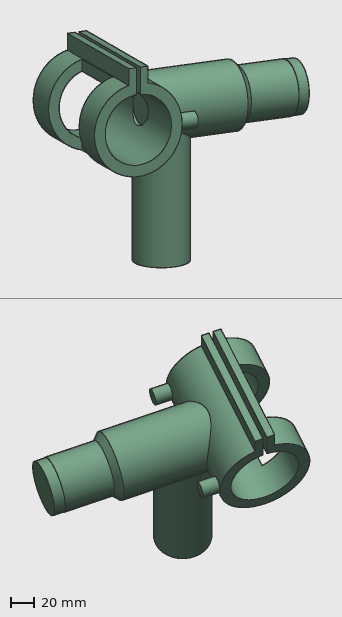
import cadquery as cq

clamp_length = 120.0
clamp_radius = 41.6
bore_radius = 31.5
ear_top = 55.5
ear_outer_width = 18.2
slit_width = 3.8
window_length = 59.5
window_face_y = -10.0

pin_radius = 7.3
pin_end_y = 57.0
pin_x = clamp_length / 2 - pin_radius

arm_radius = 31.2
neck_radius = 25.0
tip_radius = 24.5
taper_start_y = 118.3
taper_end_y = taper_start_y + arm_radius - neck_radius
tip_start_y = 170.0
arm_end_y = 221.5 - clamp_radius

spigot_radius = 15.0

leg_radius = neck_radius
leg_y = 51.2
leg_bottom_z = ear_top - 193.5


def cylinder_x(radius):
    """Cylinder around the X axis, as long as the clamp."""
    return cq.Workplane("YZ").circle(radius).extrude(clamp_length / 2, both=True)


def cylinder_y(radius, end_y, x=0):
    """Cylinder parallel to Y, from the plane of the bore axis to end_y."""
    return cq.Workplane("XZ").center(x, 0).circle(radius).extrude(-end_y)


def make_clamp():
    ears = cq.Workplane("XY").box(clamp_length, ear_outer_width, ear_top, centered=(True, True, False))
    slit = cq.Workplane("XY").box(clamp_length, slit_width, ear_top, centered=(True, True, False))
    clamp = cylinder_x(clamp_radius).union(ears)
    for side in (-1, 1):
        clamp = clamp.union(cylinder_y(pin_radius, pin_end_y, side * pin_x))
    clamp = clamp.cut(cylinder_x(bore_radius)).cut(slit)

    window_depth = clamp_radius + window_face_y
    window = (
        cq.Workplane("XY")
        .box(window_length, window_depth, 2 * clamp_radius)
        .translate((0, window_face_y - window_depth / 2, 0))
    )
    return clamp.cut(window).cut(cylinder_y(spigot_radius, clamp_radius))


def make_arm():
    profile = [
        (0, 0),
        (arm_radius, 0),
        (arm_radius, taper_start_y),
        (neck_radius, taper_end_y),
        (neck_radius, tip_start_y),
        (tip_radius, tip_start_y),
        (tip_radius, arm_end_y),
        (0, arm_end_y),
    ]
    barrel = cq.Workplane("XY").polyline(profile).close().revolve(360, (0, 0, 0), (0, 1, 0))
    leg = cq.Workplane("XY").center(0, leg_y).circle(leg_radius).extrude(leg_bottom_z)
    arm = barrel.union(leg).cut(cylinder_x(clamp_radius))

    spigot = cylinder_y(spigot_radius, clamp_radius)
    spigot = spigot.cut(cylinder_y(clamp_radius, bore_radius))
    return arm.union(spigot)


clamp = make_clamp()
arm = make_arm()

result = cq.Compound.makeCompound([clamp.solids().val(), arm.solids().val()])